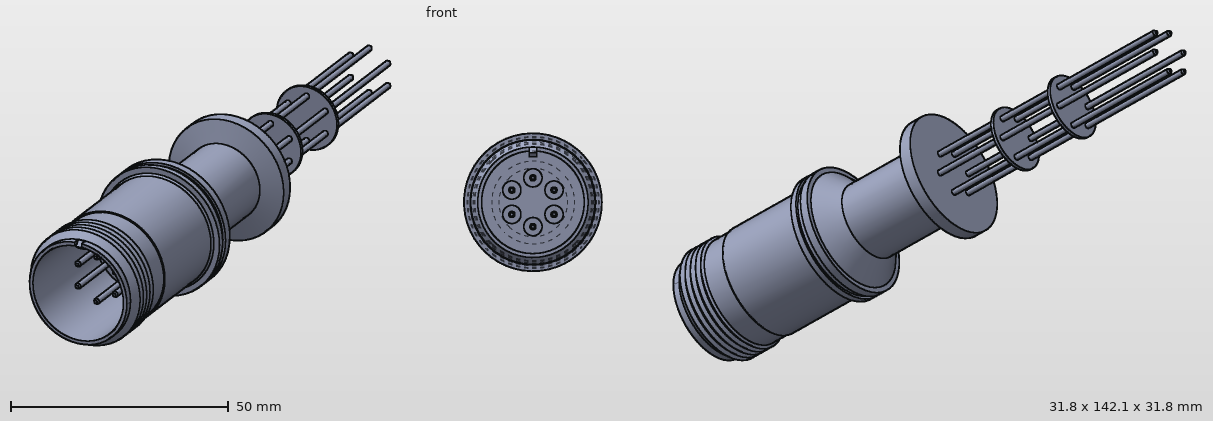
import math

import cadquery as cq

overall_length = 142.11

nose_radius = 12.7
nose_length = 1.8
thread_crest_radius = 14.29
thread_root_radius = 13.4
thread_pitch = 1.6
thread_crests = 5
first_crest_y = 3.5
thread_runout = 0.5
relief_radius = 13.6

body_radius = 13.9
body_front_y = 16.3
collar_radius = 31.75 / 2
collar_front_y = 39.15
collar_root_bevel = 0.5
collar_rear_y = 44.2
groove_radius = 15.2
groove_front_y = 40.7
groove_rear_y = 42.1

shoulder_radius = 14.6
neck_radius = 9.525
neck_front_y = 49.2
flange_radius = 15.0
flange_rear_y = 75.2
flange_rim_width = 3.2
flange_taper_angle = 14
flange_rim_y = flange_rear_y - flange_rim_width
flange_taper_length = (flange_radius - neck_radius) * math.tan(math.radians(flange_taper_angle))
flange_taper_front_y = flange_rim_y - flange_taper_length

bore_radius = 11.8
bore_depth = 30.0
key_width = 1.8
slot_overshoot = 1.0
key_top = 12.6
key_middle = 11.4
key_bottom = 10.5
key_tip_y = 0.5

conductor_count = 6
conductor_circle_radius = 5.6
conductor_diameter = 1.4
conductor_tip_diameter = 0.8
conductor_tip_length = 0.5
conductor_front_y = 8.5
insulator_diameter = 4.2
insulator_height = 1.0
spacer_diameter = 15.75
spacer_thickness = 0.8
spacer_centres_y = (overall_length - 48.0, overall_length - 30.5)


def cylinder_along_y(diameter, start_y, end_y, x=0, z=0):
    """Solid cylinder parallel to Y between two stations."""
    base = cq.Plane(origin=(x, start_y, z), xDir=(1, 0, 0), normal=(0, 1, 0))
    return cq.Workplane(base).circle(diameter / 2).extrude(end_y - start_y)


def revolve_about_y(profile):
    """Solid of revolution from a closed outline of (radius, y) points."""
    return cq.Workplane("XY").polyline(profile).close().revolve(360, (0, 0), (0, 1))


def make_shell():
    """Revolved outside of the feedthrough; profile points are (radius, y)."""
    profile = [
        (0, 0),
        (nose_radius, 0),
        (nose_radius, nose_length),
    ]
    for index in range(thread_crests):
        crest_y = first_crest_y + index * thread_pitch
        profile.append((thread_crest_radius, crest_y))
        if index < thread_crests - 1:
            profile.append((thread_root_radius, crest_y + thread_pitch / 2))
    thread_end_y = first_crest_y + (thread_crests - 1) * thread_pitch + thread_runout
    profile += [
        (relief_radius, thread_end_y),
        (relief_radius, body_front_y),
        (body_radius, body_front_y),
        (body_radius, collar_front_y - collar_root_bevel),
        (body_radius + collar_root_bevel, collar_front_y),
        (collar_radius, collar_front_y),
        (collar_radius, groove_front_y),
        (groove_radius, groove_front_y),
        (groove_radius, groove_rear_y),
        (collar_radius, groove_rear_y),
        (collar_radius, collar_rear_y),
        (shoulder_radius, collar_rear_y),
        (neck_radius, neck_front_y),
        (neck_radius, flange_taper_front_y),
        (flange_radius, flange_rim_y),
        (flange_radius, flange_rear_y),
        (0, flange_rear_y),
    ]
    return revolve_about_y(profile)


def cut_key_slot(shell):
    """Open a slot through the top of the nose wall."""
    slot_height = nose_radius - key_bottom + slot_overshoot
    slot = cq.Workplane("XY").box(key_width, nose_length, slot_height, centered=(True, False, False))
    return shell.cut(slot.translate((0, 0, key_bottom)))


def make_key():
    """Wedge-fronted key whose edge points towards the open end of the slot."""
    wedge = [(key_tip_y, key_middle), (nose_length, key_top), (nose_length, key_bottom)]
    return cq.Workplane("YZ").polyline(wedge).close().extrude(key_width / 2, both=True)


def make_conductor(x, z):
    """Through wire with tapered tips and the insulator that carries it."""
    wire_profile = [
        (0, conductor_front_y),
        (conductor_tip_diameter / 2, conductor_front_y),
        (conductor_diameter / 2, conductor_front_y + conductor_tip_length),
        (conductor_diameter / 2, overall_length - conductor_tip_length),
        (conductor_tip_diameter / 2, overall_length),
        (0, overall_length),
    ]
    wire = revolve_about_y(wire_profile).translate((x, 0, z))
    insulator = cylinder_along_y(insulator_diameter, bore_depth - insulator_height, bore_depth, x, z)
    return wire.union(insulator)


def make_spacer(centre_y):
    """Thin disc that holds the wires apart behind the flange."""
    half = spacer_thickness / 2
    return cylinder_along_y(spacer_diameter, centre_y - half, centre_y + half)


result = make_shell().cut(cylinder_along_y(2 * bore_radius, 0, bore_depth))
result = cut_key_slot(result).union(make_key())

for index in range(conductor_count):
    angle = math.radians(90 + index * 360 / conductor_count)
    conductor_x = conductor_circle_radius * math.cos(angle)
    conductor_z = conductor_circle_radius * math.sin(angle)
    result = result.union(make_conductor(conductor_x, conductor_z))

for centre_y in spacer_centres_y:
    result = result.union(make_spacer(centre_y))